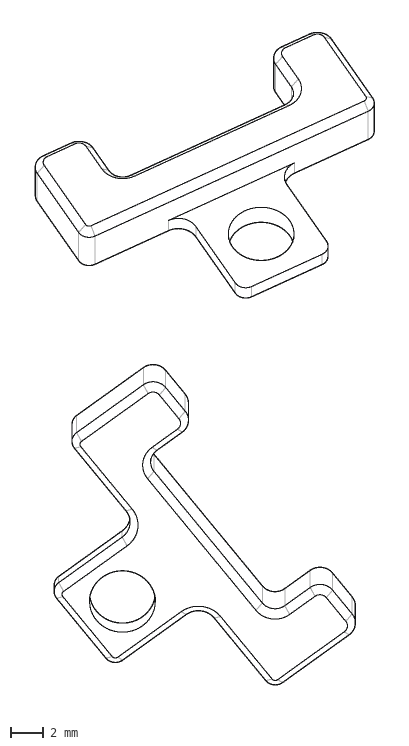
import cadquery as cq

body_width = 7.0
body_length = 21.1
body_height = 4.0
arm_width = 4.0
recess_depth = 4.0
recess_length = body_length - 2 * arm_width
arm_radius = 1.0
back_radius = 0.75
edge_chamfer = 0.5

overall_width = 14.0
tab_reach = overall_width - body_width
tab_width = 6.55
tab_thickness = 1.6
tab_corner_radius = 0.75
tab_root_radius = 1.25
hole_diameter = 4.1
hole_x = 10.75

tab_overlap = 1.0


def c_block(height):
    """C-shaped block with rounded vertical edges, standing on Z = 0."""
    block = cq.Workplane("XY").box(body_width, body_length, height, centered=(False, True, False))
    recess = cq.Workplane("XY").box(recess_depth, recess_length, height, centered=(False, True, False))
    block = block.cut(recess)
    block = block.edges("|Z and (not >X)").fillet(arm_radius)
    return block.edges("|Z and >X").fillet(back_radius)


def tab_plate():
    """Tab plate with rounded outer corners."""
    plate = (
        cq.Workplane("XY")
        .box(tab_reach + tab_overlap, tab_width, tab_thickness, centered=(False, True, False))
        .translate((body_width - tab_overlap, 0, 0))
    )
    return plate.edges("|Z and >X").fillet(tab_corner_radius)


def root_gusset(side):
    """Concave fillet between the tab's edge and the back of the body."""
    edge_y = side * tab_width / 2
    outer_y = edge_y + side * tab_root_radius
    bend = tab_root_radius * (1 - 0.5 ** 0.5)
    return (
        cq.Workplane("XY")
        .moveTo(body_width - tab_overlap, edge_y - side * tab_overlap)
        .lineTo(body_width + tab_root_radius, edge_y - side * tab_overlap)
        .lineTo(body_width + tab_root_radius, edge_y)
        .threePointArc((body_width + bend, edge_y + side * bend), (body_width, outer_y))
        .lineTo(body_width - tab_overlap, outer_y)
        .close()
        .extrude(tab_thickness)
    )


result = c_block(body_height).faces(">Z").chamfer(edge_chamfer)
result = result.union(tab_plate())
for side in (-1, 1):
    result = result.union(root_gusset(side))
result = result.clean()

result = result.faces("<Z").chamfer(edge_chamfer)

hole = cq.Workplane("XY").center(hole_x, 0).circle(hole_diameter / 2).extrude(tab_thickness)
result = result.cut(hole)